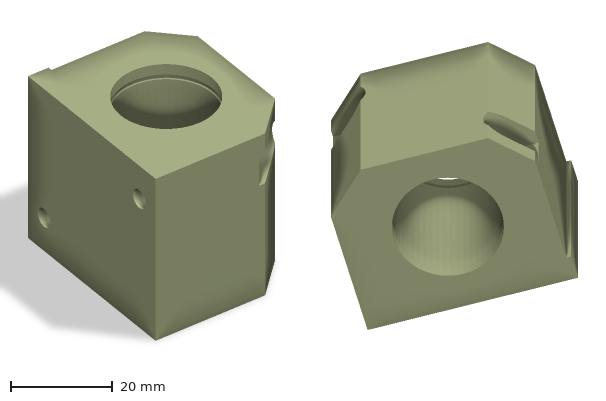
import cadquery as cq

width = 43.0
depth = 35.0
height = 39.0
lip_projection = 1.0
lip_depth = 5.0
left_chamfer = 7.5
right_chamfer = 8.5

bore_diameter = 22.0
bore_x = width / 2
bore_y = 18.0
groove_diameter = 23.0
groove_width = 1.1
groove_top_depth = 2.5

bolt_diameter = 4.3
bolt_side_offset = 5.5
bolt_end_offset = 8.0
recess_width = 8.0
recess_depth = 10.0


def block():
    outline = [
        (0, 0),
        (width, 0),
        (width, depth - right_chamfer),
        (width - right_chamfer, depth),
        (lip_projection + left_chamfer, depth),
        (lip_projection, depth - left_chamfer),
        (lip_projection, lip_depth),
        (0, lip_depth),
    ]
    return cq.Workplane("XY").polyline(outline).close().extrude(height)


def vertical_cylinder(diameter, bottom, length):
    return (
        cq.Workplane("XY", origin=(bore_x, bore_y, bottom))
        .circle(diameter / 2)
        .extrude(length)
    )


def bolt_cut(x, z, side_x):
    """Through hole along Y, with a rear recess that runs out through the side at side_x."""
    hole = cq.Workplane("XZ", origin=(x, 0, z)).circle(bolt_diameter / 2).extrude(-depth)
    recess_plane = cq.Workplane("XZ", origin=(x, depth, z))
    round_end = recess_plane.circle(recess_width / 2).extrude(recess_depth)
    run_out = (
        recess_plane.center((side_x - x) / 2, 0)
        .rect(abs(side_x - x), recess_width)
        .extrude(recess_depth)
    )
    return hole.union(round_end).union(run_out)


bore = vertical_cylinder(bore_diameter, 0, height)
groove_bottom = height - groove_top_depth - groove_width
groove = vertical_cylinder(groove_diameter, groove_bottom, groove_width)

result = block().cut(bore).cut(groove)

bolt_places = [
    (bolt_side_offset, bolt_end_offset, 0),
    (width - bolt_side_offset, height - bolt_end_offset, width),
]
for bolt_x, bolt_z, open_side in bolt_places:
    result = result.cut(bolt_cut(bolt_x, bolt_z, open_side))